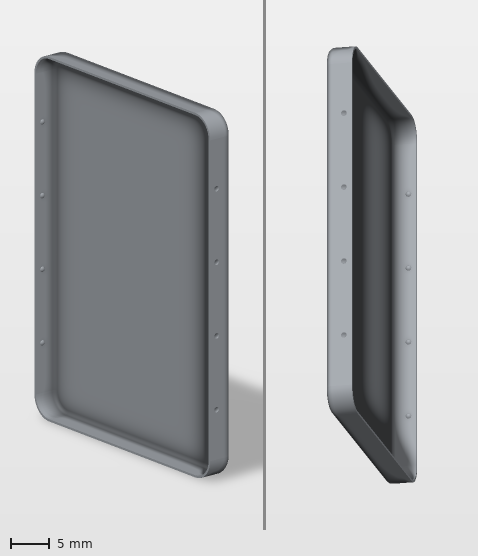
import cadquery as cq
import math

width = 35.6
depth = 3.5
height = 49.6
wall = 0.3
corner_radius = 3.0
floor_edge_radius = 0.8

dimple_count = 4
dimple_pitch = 10.0
dimple_from_rim = 1.1
dimple_radius = 0.37
dimple_depth = 0.2

rim_y = -depth / 2
dimple_y = rim_y + dimple_from_rim


def rounded_block(inset, length):
    """Block from the rim towards +Y, inset from the outer sides, with a rounded +Y edge."""
    block = (
        cq.Workplane("XZ", origin=(0, rim_y, 0))
        .rect(width - 2 * inset, height - 2 * inset)
        .extrude(-length)
        .edges("|Y")
        .fillet(corner_radius - inset)
    )
    return block.faces(">Y").edges().fillet(floor_edge_radius - inset)


def dimple_cap(side, base_x, z):
    """Spherical cap with its flat base at base_x, bulging towards the inside of the tray."""
    sphere_radius = (dimple_radius**2 + dimple_depth**2) / (2 * dimple_depth)
    half_angle = math.asin(dimple_radius / sphere_radius) / 2
    mid_depth = dimple_depth - sphere_radius * (1 - math.cos(half_angle))
    mid_radius = sphere_radius * math.sin(half_angle)
    return (
        cq.Workplane("XY", origin=(base_x, dimple_y, z))
        .lineTo(0, dimple_radius)
        .threePointArc((-side * mid_depth, mid_radius), (-side * dimple_depth, 0))
        .close()
        .revolve(360, (0, 0, 0), (1, 0, 0))
    )


def add_dimple(body, side, z):
    """Raise a bump inside one side wall (side = -1 or 1) and dent its outside to match."""
    outer_x = side * width / 2
    inner_x = outer_x - side * wall
    bump = dimple_cap(side, inner_x, z)
    dent = dimple_cap(side, outer_x, z)
    return body.cut(dent).union(bump)


result = rounded_block(0, depth).cut(rounded_block(wall, depth - wall))
first_dimple_z = -dimple_pitch * (dimple_count - 1) / 2
for wall_side in (-1, 1):
    for index in range(dimple_count):
        result = add_dimple(result, wall_side, first_dimple_z + index * dimple_pitch)